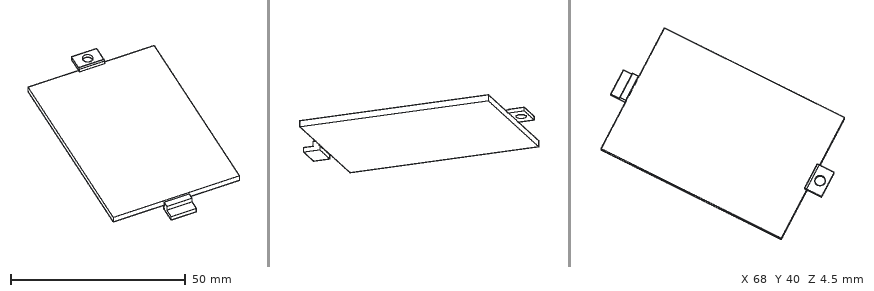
import cadquery as cq

overall_length = 68.0
overall_height = 4.5

plate_width = 40.0
plate_thickness = 1.9

end_piece_width = 8.0

tab_overhang = 4.8
tab_overlap = 0.7
tab_step = 0.1
hole_diameter = 3.0
hole_inset = 2.5

hook_length = 5.0
hook_foot_thickness = 1.4
hook_post_end = 2.1
hook_post_height = 1.5
hook_clearance = 0.2

left_end = -overall_length / 2
right_end = overall_length / 2
plate_left = left_end + tab_overhang
plate_right = right_end - hook_length
plate_bottom = hook_foot_thickness
plate_top = plate_bottom + plate_thickness
tab_thickness = overall_height - plate_top


def block(x_start, x_end, width, z_bottom, height):
    """Box between two X positions, centred across Y."""
    return (
        cq.Workplane("XY")
        .box(x_end - x_start, width, height, centered=(False, True, False))
        .translate((x_start, 0, z_bottom))
    )


def make_plate():
    return block(plate_left, plate_right, plate_width, plate_bottom, plate_thickness)


def make_tab():
    """Lug resting on the plate, slightly thinner over it, with a through hole in its overhang."""
    overhang = block(left_end, plate_left, end_piece_width, plate_top, tab_thickness)
    overlap = block(
        plate_left, plate_left + tab_overlap, end_piece_width, plate_top, tab_thickness - tab_step
    )
    lug = overhang.union(overlap)
    hole = (
        cq.Workplane("XY", origin=(left_end + hole_inset, 0, plate_top))
        .circle(hole_diameter / 2)
        .extrude(tab_thickness)
    )
    return lug.cut(hole)


def make_hook():
    """L-shaped profile: a foot below the plate and a post just clear of the plate's end."""
    foot_top = hook_foot_thickness
    post_top = foot_top + hook_post_height
    post_start = plate_right + hook_clearance
    post_end = plate_right + hook_post_end
    profile = [
        (plate_right, 0),
        (right_end, 0),
        (right_end, foot_top),
        (post_end, foot_top),
        (post_end, post_top),
        (post_start, post_top),
        (post_start, foot_top),
        (plate_right, foot_top),
    ]
    return cq.Workplane("XZ").polyline(profile).close().extrude(end_piece_width / 2, both=True)


plate = make_plate()
tab = make_tab()
hook = make_hook()

result = cq.Compound.makeCompound([plate.val(), tab.val(), hook.val()])